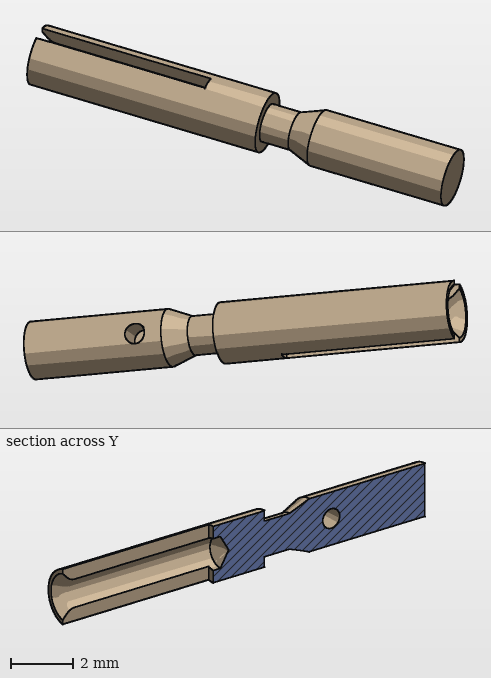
import cadquery as cq
import math

total_length = 14.5
socket_radius = 1.0
socket_length = 8.0
neck_radius = 0.64
neck_end = 9.0
barrel_radius = 0.94
barrel_start = 9.8

mouth_radius = 0.85
throat_radius = 0.68
bore_radius = 0.55
mouth_angle = math.radians(45)
throat_depth = (mouth_radius - throat_radius) / math.tan(mouth_angle)
rounding_radius = (throat_radius - bore_radius) / (1 - math.cos(mouth_angle))
rounding_end = throat_depth + rounding_radius * math.sin(mouth_angle)
rounding_mid = (
    rounding_end - rounding_radius * math.sin(mouth_angle / 2),
    bore_radius + rounding_radius * (1 - math.cos(mouth_angle / 2)),
)
bore_depth = 6.2
drill_tip_angle = 118.0
drill_tip_length = bore_radius / math.tan(math.radians(drill_tip_angle / 2))

slot_width = 0.48
slot_length = 5.92

inspection_radius = 0.33
inspection_x = 10.7


def make_body():
    outline = [
        (0, 0),
        (0, socket_radius),
        (socket_length, socket_radius),
        (socket_length, neck_radius),
        (neck_end, neck_radius),
        (barrel_start, barrel_radius),
        (total_length, barrel_radius),
        (total_length, 0),
    ]
    return cq.Workplane("XY").polyline(outline).close().revolve(360, (0, 0, 0), (1, 0, 0))


def make_socket_bore():
    """Bore whose chamfer blends into the straight wall through a tangent arc."""
    return (
        cq.Workplane("XY")
        .lineTo(0, mouth_radius)
        .lineTo(throat_depth, throat_radius)
        .threePointArc(rounding_mid, (rounding_end, bore_radius))
        .lineTo(bore_depth, bore_radius)
        .lineTo(bore_depth + drill_tip_length, 0)
        .close()
        .revolve(360, (0, 0, 0), (1, 0, 0))
    )


def make_finger_slot():
    return cq.Workplane("XY").box(
        slot_length, slot_width, 2 * socket_radius, centered=(False, True, True)
    )


def make_inspection_hole():
    """Blind radial hole running from the axis out through the +Y side."""
    return (
        cq.Workplane("XZ")
        .center(inspection_x, 0)
        .circle(inspection_radius)
        .extrude(-socket_radius)
    )


result = make_body().cut(make_socket_bore()).cut(make_finger_slot()).cut(make_inspection_hole())